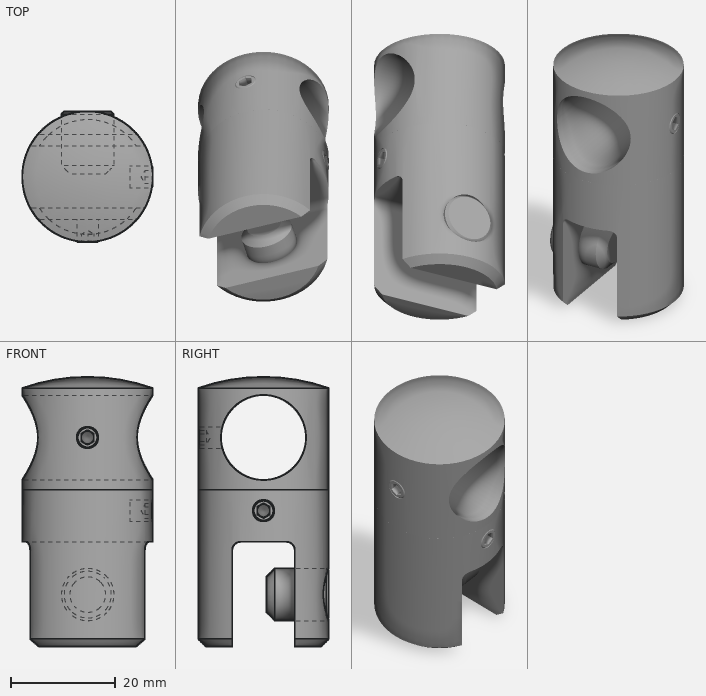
import cadquery as cq
import math

body_radius = 12.5
total_height = 51.6
joint_height = 30.0

dome_height = 2.15
rail_bore_diameter = 16.2
rail_bore_height = 40.0

slot_width = 11.85
slot_top = 20.0
slot_corner_radius = 1.5
base_chamfer = 1.5

set_screw_diameter = 4.15
set_screw_chamfer = 0.2
set_screw_inner_end = rail_bore_diameter / 2
set_screw_length = body_radius - set_screw_inner_end
socket_across_flats = 2.5
socket_depth = 1.55
drill_point_angle = 120.0
hexagon_half_sector = math.radians(30)
base_screw_height = 26.0

clamp_diameter = 10.0
clamp_height = 10.0
clamp_angle = 90
clamp_tip_y = 0.55
clamp_tip_chamfer = 1.6
clamp_end_chamfer = 0.5


def radial_plane(angle, height):
    """Plane on the body axis whose normal points outward at the given angle from +X."""
    direction = math.radians(angle)
    outward = (math.cos(direction), math.sin(direction), 0)
    sideways = (-math.sin(direction), math.cos(direction), 0)
    return cq.Plane(origin=(0, 0, height), xDir=sideways, normal=outward)


def radial_hole(angle, height, diameter, inner_end):
    """Cutter for a hole that runs outward from the given distance to the body axis."""
    plane = radial_plane(angle, height)
    return cq.Workplane(plane).workplane(offset=inner_end).circle(diameter / 2).extrude(body_radius)


def make_set_screw(angle, height):
    """Set screw with its socket face level with the outermost line of the body."""
    plane = radial_plane(angle, height)
    screw = (
        cq.Workplane(plane)
        .workplane(offset=set_screw_inner_end)
        .circle(set_screw_diameter / 2)
        .extrude(set_screw_length)
        .faces(cq.selectors.DirectionMinMaxSelector(plane.zDir))
        .chamfer(set_screw_chamfer)
    )
    socket_floor = body_radius - socket_depth
    socket_corner_diameter = socket_across_flats / math.cos(hexagon_half_sector)
    socket = (
        cq.Workplane(plane)
        .workplane(offset=socket_floor)
        .transformed(rotate=(0, 0, 90))
        .polygon(6, socket_corner_diameter)
        .extrude(socket_depth)
    )
    point_radius = socket_across_flats / 2
    point_depth = point_radius / math.tan(math.radians(drill_point_angle / 2))
    drill_point = cq.Solid.makeCone(
        point_radius, 0, point_depth, pnt=plane.toWorldCoords((0, 0, socket_floor)), dir=-plane.zDir
    )
    return screw.cut(socket).cut(cq.Workplane(drill_point))


def make_head():
    """Cylinder with a spherical dome on top and a rail bore along X."""
    rim_height = total_height - dome_height
    dome_radius = (body_radius**2 + dome_height**2) / (2 * dome_height)
    half_angle = math.asin(body_radius / dome_radius) / 2
    dome_mid = (
        dome_radius * math.sin(half_angle),
        total_height - dome_radius * (1 - math.cos(half_angle)),
    )
    head = (
        cq.Workplane("YZ")
        .moveTo(0, joint_height)
        .lineTo(-body_radius, joint_height)
        .lineTo(-body_radius, rim_height)
        .threePointArc((-dome_mid[0], dome_mid[1]), (0, total_height))
        .close()
        .revolve(360, (0, 0, 0), (0, 1, 0))
    )
    rail_bore = (
        cq.Workplane("YZ", origin=(-body_radius, 0, rail_bore_height))
        .circle(rail_bore_diameter / 2)
        .extrude(2 * body_radius)
    )
    return head.cut(rail_bore)


def make_base():
    """Cylinder chamfered at the bottom, with a round-cornered panel slot along X."""
    base = (
        cq.Workplane("XY")
        .circle(body_radius)
        .extrude(joint_height)
        .faces("<Z")
        .chamfer(base_chamfer)
    )
    slot = (
        cq.Workplane("XY")
        .box(2 * body_radius, slot_width, slot_top, centered=(True, True, False))
        .edges("|X and >Z")
        .fillet(slot_corner_radius)
    )
    return base.cut(slot)


def make_clamp_screw():
    """Plain cylindrical screw, chamfered at its tip and at its outer end."""
    length = body_radius - clamp_tip_y
    return (
        cq.Workplane(radial_plane(clamp_angle, clamp_height))
        .workplane(offset=clamp_tip_y)
        .circle(clamp_diameter / 2)
        .extrude(length)
        .faces("<Y")
        .chamfer(clamp_tip_chamfer)
        .faces(">Y")
        .chamfer(clamp_end_chamfer)
    )


head_screw_place = (-90, rail_bore_height)
base_screw_place = (0, base_screw_height)

head = make_head().cut(radial_hole(*head_screw_place, set_screw_diameter, set_screw_inner_end))
base = (
    make_base()
    .cut(radial_hole(*base_screw_place, set_screw_diameter, set_screw_inner_end))
    .cut(radial_hole(clamp_angle, clamp_height, clamp_diameter, clamp_tip_y))
)
set_screws = [make_set_screw(*place) for place in (head_screw_place, base_screw_place)]
clamp_screw = make_clamp_screw()

result = cq.Compound.makeCompound(
    [head.val(), base.val(), clamp_screw.val(), *[screw.val() for screw in set_screws]]
)